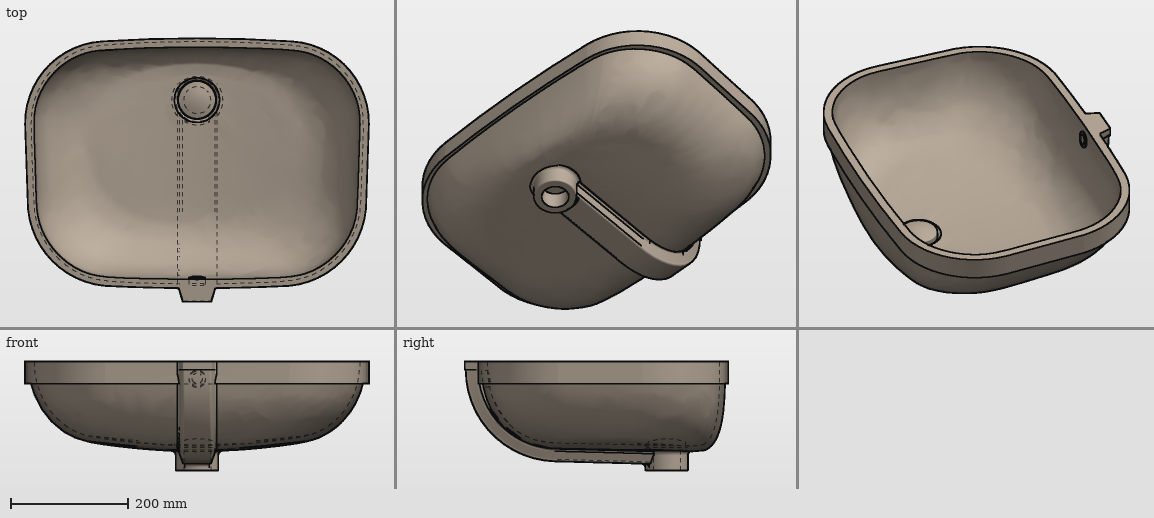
import cadquery as cq
import math


RIM_REAR_Y = 213.0
RIM_FRONT_Y = -213.0
RIM_HALF_WIDTH = 293.0
RIM_HEIGHT = 38.0
RIM_WIDTH = 15.0

FLOOR_HALF_WIDTH = 166.0
FLOOR_REAR_Y = 154.0
FLOOR_FRONT_Y = -74.0
FLOOR_MID_Y = (FLOOR_REAR_Y + FLOOR_FRONT_Y) / 2
FLOOR_HALF_LENGTH = (FLOOR_REAR_Y - FLOOR_FRONT_Y) / 2
OUTER_FLOOR_DEPTH = 152.5
FLOOR_SIDE_RISE = 13.0
FLOOR_FALL = 0.02
FLOOR_THICKNESS = 10.0
OUTER_MOUTH_INSET = 5.0
REAR_FULLNESS = 1.0
FRONT_FULLNESS = 0.25
SECTION_POINTS = 36
WALL_ANGLES = (0, 12, 24, 36, 48, 60, 70, 80, 90)
FLOOR_STEPS = (0.2, 0.4, 0.6, 0.8, 1.0)

BASIN_BOTTOM_Z = -186.0
DRAIN_Y = 108.0
OUTLET_DIAMETER = 73.0
OUTLET_FLARE = 7.0
OUTLET_EDGE = 2.0
SINK_DIAMETER = 77.0
SEAT_DIAMETER = 66.0
SINK_DEPTH = 4.0
SEAT_DEPTH = 8.0
BORE_DIAMETER = 46.0
FLOOR_TOP_Z = FLOOR_THICKNESS - OUTER_FLOOR_DEPTH
SEAT_Z = FLOOR_TOP_Z - SEAT_DEPTH

CAP_CLEARANCE = 1.0
CAP_DOME_RISE = 5.0
CAP_EDGE_HEIGHT = 12.5
CAP_EDGE_ROUND = 2.0

CHANNEL_FRONT_Y = -234.5
CHANNEL_DEPTH = 30.0
CHANNEL_PROJECTION = -CHANNEL_FRONT_Y + RIM_FRONT_Y
CHANNEL_FACE_HALF_WIDTH = 25.0
CHANNEL_ROOT_HALF_WIDTH = 30.0
CHANNEL_FOOT = 4.0
CHANNEL_EDGE = 4.0
CHANNEL_DROP = 14.0
CHANNEL_BEND_RADIUS = 156.5
CHANNEL_FALL_ANGLE = 1.5
CHANNEL_TURN = math.radians(90 - CHANNEL_FALL_ANGLE)
CHANNEL_END_Y = 86.0
CHANNEL_END_FILLET = 6.0
HEAD_FRONT_Y = -236.02
HEAD_EDGE = 2.0

COVER_DIAMETER = 28.0
COVER_FACE_DIAMETER = 18.0
COVER_Z = -30.0
COVER_BACK_Y = -206.0
COVER_THICKNESS = 11.0
COVER_FACE_RISE = 1.5
COVER_TILT = 8.0


def arc_radius(half_chord, rise):
    """Radius of the arc that rises by the given amount over its chord."""
    return (half_chord**2 + rise**2) / (2 * rise)


def rim_outline(inset=0.0):
    """Rim outline in Z = 0: four bowed edges joined by four corner arcs, moved inward by inset."""
    rear_end = (162.0, 207.7)
    rear_corner = (250.0, 169.0)
    side_rear_end = (RIM_HALF_WIDTH, 67.0)
    side_front_end = (288.0, -77.5)
    front_corner = (246.0, -167.0)
    front_end = (157.0, -209.0)

    rear_radius = arc_radius(rear_end[0], RIM_REAR_Y - rear_end[1])
    front_radius = arc_radius(front_end[0], front_end[1] - RIM_FRONT_Y)

    def mirrored(point):
        return (-point[0], point[1])

    outline = (
        cq.Workplane("XY")
        .moveTo(0, RIM_FRONT_Y)
        .radiusArc(mirrored(front_end), front_radius)
        .threePointArc(mirrored(front_corner), mirrored(side_front_end))
        .lineTo(*mirrored(side_rear_end))
        .threePointArc(mirrored(rear_corner), mirrored(rear_end))
        .radiusArc((0, RIM_REAR_Y), rear_radius)
        .radiusArc(rear_end, rear_radius)
        .threePointArc(rear_corner, side_rear_end)
        .lineTo(*side_front_end)
        .threePointArc(front_corner, front_end)
        .radiusArc((0, RIM_FRONT_Y), front_radius)
        .close()
    )
    return outline.offset2D(-inset) if inset else outline


def floor_height(x, y, depth):
    """Height of the floor: lowest along its middle, rising to the sides and gently to the front."""
    return -depth + FLOOR_SIDE_RISE * (x / FLOOR_HALF_WIDTH) ** 2 + FLOOR_FALL * (DRAIN_Y - y)


def wall_fullness(turn):
    """Superellipse exponent of the wall: 2 at the sides, growing to the front and most to the rear."""
    extra = REAR_FULLNESS if math.sin(turn) > 0 else FRONT_FULLNESS
    return 2 + extra * math.sin(turn) ** 4


def bowl(mouth_inset, depth):
    """Solid bounded by the rim plane, the curved bowl wall and the dished floor."""
    mouth = rim_outline(mouth_inset).val()
    sections = [[] for _ in range(len(WALL_ANGLES) + len(FLOOR_STEPS))]
    end_z = floor_height(0, DRAIN_Y, depth)
    end_radius = BORE_DIAMETER / 2
    for i in range(SECTION_POINTS):
        top = mouth.positionAt(i / SECTION_POINTS)
        turn = math.atan2((top.y - FLOOR_MID_Y) / FLOOR_HALF_LENGTH, top.x / FLOOR_HALF_WIDTH)
        edge_x = FLOOR_HALF_WIDTH * math.cos(turn)
        edge_y = FLOOR_MID_Y + FLOOR_HALF_LENGTH * math.sin(turn)
        edge_z = floor_height(edge_x, edge_y, depth)
        fullness = wall_fullness(turn)
        for section, angle in zip(sections, WALL_ANGLES):
            spread = math.cos(math.radians(angle)) ** (2 / fullness)
            drop = math.sin(math.radians(angle)) ** (2 / fullness)
            x = edge_x + spread * (top.x - edge_x)
            y = edge_y + spread * (top.y - edge_y)
            section.append(cq.Vector(x, y, drop * edge_z))
        end_x = end_radius * math.cos(turn)
        end_y = DRAIN_Y + end_radius * math.sin(turn)
        for section, step in zip(sections[len(WALL_ANGLES):], FLOOR_STEPS):
            x = edge_x + step * (end_x - edge_x)
            y = edge_y + step * (end_y - edge_y)
            z = end_z if step == 1.0 else floor_height(x, y, depth)
            section.append(cq.Vector(x, y, z))
    wires = [
        cq.Wire.assembleEdges([cq.Edge.makeSpline(points, periodic=True)]) for points in sections
    ]
    return cq.Workplane(cq.Solid.makeLoft(wires))



def disc(diameter, height, bottom_z):
    """Upright cylinder on the drain axis."""
    return cq.Workplane("XY", origin=(0, DRAIN_Y, bottom_z)).circle(diameter / 2).extrude(height)


def rim():
    return rim_outline().extrude(-RIM_HEIGHT)


def outlet():
    """Drain spigot that flares into the underside of the bowl."""
    radius = OUTLET_DIAMETER / 2
    flare_radius = radius + OUTLET_FLARE
    top_z = FLOOR_TOP_Z - FLOOR_THICKNESS / 2
    flare_z = -OUTER_FLOOR_DEPTH - OUTLET_FLARE
    return (
        cq.Workplane("XZ", origin=(0, DRAIN_Y, 0))
        .moveTo(0, top_z)
        .lineTo(flare_radius, top_z)
        .lineTo(flare_radius, -OUTER_FLOOR_DEPTH)
        .radiusArc((radius, flare_z), -OUTLET_FLARE)
        .lineTo(radius, BASIN_BOTTOM_Z + OUTLET_EDGE)
        .radiusArc((radius - OUTLET_EDGE, BASIN_BOTTOM_Z), OUTLET_EDGE)
        .lineTo(0, BASIN_BOTTOM_Z)
        .close()
        .revolve(360, (0, 0, 0), (0, 1, 0))
    )


def channel_section(front_y, edge):
    """Channel section in Z = 0: drafted sides, eased front edges and hollow fillets at the foot."""
    back_y = CHANNEL_FRONT_Y + CHANNEL_DEPTH
    foot_y = CHANNEL_FRONT_Y + CHANNEL_PROJECTION
    side_y = foot_y - CHANNEL_FOOT
    foot_x = CHANNEL_ROOT_HALF_WIDTH + CHANNEL_FOOT
    return (
        cq.Workplane("XY")
        .moveTo(-foot_x, back_y)
        .lineTo(-foot_x, foot_y)
        .radiusArc((-CHANNEL_ROOT_HALF_WIDTH, side_y), CHANNEL_FOOT)
        .lineTo(-CHANNEL_FACE_HALF_WIDTH, front_y + edge)
        .radiusArc((edge - CHANNEL_FACE_HALF_WIDTH, front_y), -edge)
        .lineTo(CHANNEL_FACE_HALF_WIDTH - edge, front_y)
        .radiusArc((CHANNEL_FACE_HALF_WIDTH, front_y + edge), -edge)
        .lineTo(CHANNEL_ROOT_HALF_WIDTH, side_y)
        .radiusArc((foot_x, foot_y), CHANNEL_FOOT)
        .lineTo(foot_x, back_y)
        .close()
    )


def channel_bend(angle):
    """Y and Z on the face of the channel after it has turned by the given angle."""
    y = CHANNEL_FRONT_Y + CHANNEL_BEND_RADIUS * (1 - math.cos(angle))
    return (y, -CHANNEL_DROP - CHANNEL_BEND_RADIUS * math.sin(angle))


def channel_underside(y):
    """Height of the face of the channel along its straight run to the outlet."""
    start_y, start_z = channel_bend(CHANNEL_TURN)
    return start_z - (y - start_y) * math.tan(math.radians(CHANNEL_FALL_ANGLE))


def overflow_channel():
    """Channel that drops from the rim, bends under the bowl and runs down to the outlet."""
    path = (
        cq.Workplane("YZ")
        .moveTo(CHANNEL_FRONT_Y, 0)
        .lineTo(CHANNEL_FRONT_Y, -CHANNEL_DROP)
        .threePointArc(channel_bend(CHANNEL_TURN / 2), channel_bend(CHANNEL_TURN))
        .lineTo(CHANNEL_END_Y, channel_underside(CHANNEL_END_Y))
    )
    head = channel_section(HEAD_FRONT_Y, HEAD_EDGE).extrude(-CHANNEL_DROP)
    return channel_section(CHANNEL_FRONT_Y, CHANNEL_EDGE).sweep(path).union(head)


def channel_end_fillet():
    """Hollow fillet between the underside of the channel and the front of the outlet."""
    radius = OUTLET_DIAMETER / 2
    top_z = channel_underside(DRAIN_Y - radius)
    ring = (
        cq.Workplane("XZ", origin=(0, DRAIN_Y, top_z))
        .lineTo(radius + CHANNEL_END_FILLET, 0)
        .radiusArc((radius, -CHANNEL_END_FILLET), -CHANNEL_END_FILLET)
        .lineTo(0, -CHANNEL_END_FILLET)
        .close()
        .revolve(360, (0, 0, 0), (0, 1, 0))
    )
    width = 2 * (CHANNEL_FACE_HALF_WIDTH - CHANNEL_EDGE)
    front_part = cq.Workplane("XY", origin=(0, DRAIN_Y - OUTLET_DIAMETER, top_z)).box(
        width, OUTLET_DIAMETER, 2 * CHANNEL_END_FILLET, centered=(True, False, True)
    )
    return ring.intersect(front_part)


def drain_hole():
    """Flared sink, flat seat for the cap and the bore through the outlet."""
    sink = (
        cq.Workplane("XY", origin=(0, DRAIN_Y, FLOOR_TOP_Z))
        .circle(SINK_DIAMETER / 2)
        .workplane(offset=-SINK_DEPTH)
        .circle(SEAT_DIAMETER / 2)
        .loft()
    )
    sink = sink.union(disc(SINK_DIAMETER, FLOOR_THICKNESS, FLOOR_TOP_Z))
    seat = disc(SEAT_DIAMETER, SEAT_DEPTH, SEAT_Z)
    bore = disc(BORE_DIAMETER, FLOOR_TOP_Z - BASIN_BOTTOM_Z, BASIN_BOTTOM_Z)
    return sink.union(seat).union(bore)


def overflow_cover():
    """Stepped round cover whose back part fills the overflow hole."""
    flange = cq.Workplane("XZ").circle(COVER_DIAMETER / 2).extrude(-COVER_THICKNESS)
    face_length = COVER_THICKNESS + COVER_FACE_RISE
    face = cq.Workplane("XZ").circle(COVER_FACE_DIAMETER / 2).extrude(-face_length)
    cover = flange.union(face).rotate((0, 0, 0), (1, 0, 0), COVER_TILT)
    return cover.translate((0, COVER_BACK_Y, COVER_Z))


def drain_cap():
    """Round cap with a domed top, resting on the seat of the drain hole."""
    radius = SEAT_DIAMETER / 2 - CAP_CLEARANCE
    dome_edge = radius - CAP_EDGE_ROUND
    dome_base = CAP_EDGE_HEIGHT + CAP_EDGE_ROUND
    dome_radius = arc_radius(dome_edge, CAP_DOME_RISE)
    return (
        cq.Workplane("XZ", origin=(0, DRAIN_Y, SEAT_Z))
        .lineTo(radius, 0)
        .lineTo(radius, CAP_EDGE_HEIGHT)
        .radiusArc((dome_edge, dome_base), -CAP_EDGE_ROUND)
        .radiusArc((0, dome_base + CAP_DOME_RISE), -dome_radius)
        .close()
        .revolve(360, (0, 0, 0), (0, 1, 0))
    )


def basin():
    body = bowl(OUTER_MOUTH_INSET, OUTER_FLOOR_DEPTH).union(rim())
    body = body.union(outlet()).union(overflow_channel()).union(channel_end_fillet())
    body = body.cut(bowl(RIM_WIDTH, OUTER_FLOOR_DEPTH - FLOOR_THICKNESS))
    return body.cut(drain_hole()).cut(overflow_cover())


result = cq.Compound.makeCompound([basin().val(), drain_cap().val(), overflow_cover().val()])